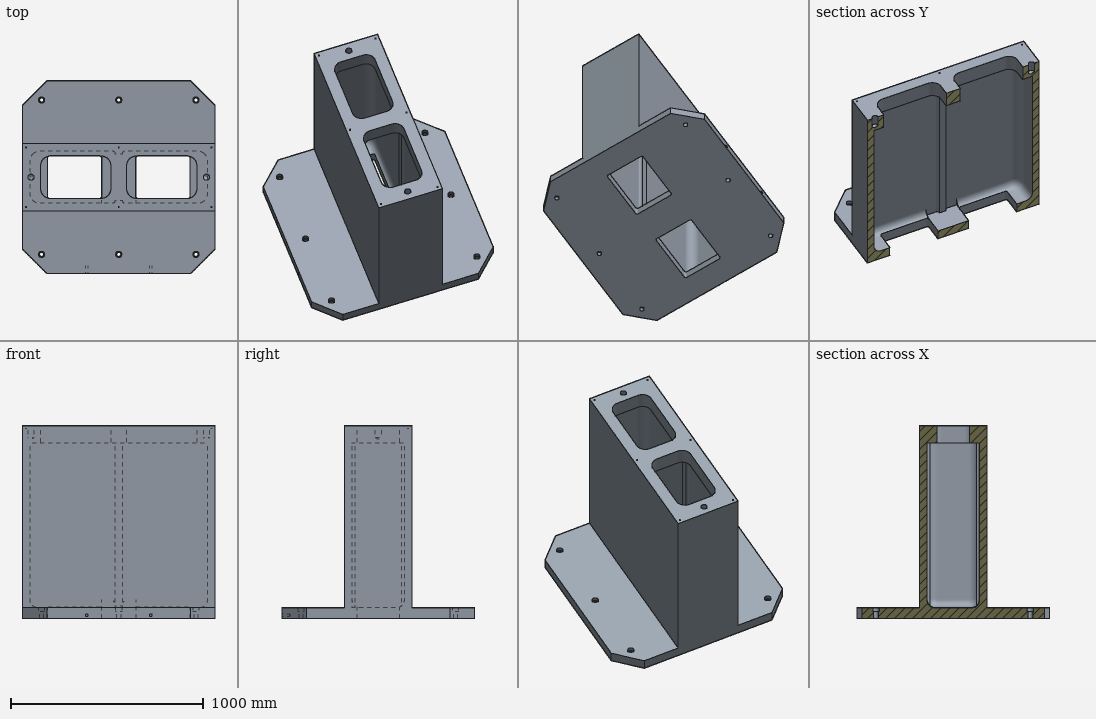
import cadquery as cq

plate_side = 1000
plate_thickness = 57
corner_chamfer = 127

total_height = 1000
column_length = plate_side
column_width = 350
wall = 40
top_thickness = 90
column_height = total_height - plate_thickness
cavity_length = column_length - 2 * wall
cavity_width = column_width - 2 * wall
cavity_top = total_height - top_thickness
cavity_height = cavity_top - plate_thickness
corner_radius = 50
floor_fillet = 40

rib_thickness = 40
rib_depth = 15
rib_root_radius = 10

window_length = 364
window_width = 220
window_offset = 223
floor_opening_length = 280
floor_opening_width = window_width
floor_opening_radius = 10
floor_opening_depth = plate_thickness + floor_fillet
floor_opening_offset = 229

bolt_pitch = 400
bolt_diameter = 22
counterbore_diameter = 32
counterbore_depth = 20

lifting_offset = 455
lifting_diameter = 31.67
lifting_depth = 60
lifting_point_depth = 10

fixing_pitch_x = 480
fixing_pitch_y = 155
fixing_diameter = 5
fixing_depth = 15

edge_hole_offset = 166
edge_hole_height = 18
edge_hole_diameter = 14
edge_hole_depth = 40
edge_hole_point_depth = 4


def make_body():
    """Chamfered base plate with the solid column on it."""
    plate = cq.Workplane("XY").rect(plate_side, plate_side).extrude(plate_thickness)
    plate = plate.edges("|Z").chamfer(corner_chamfer)
    column = (
        cq.Workplane("XY")
        .workplane(offset=plate_thickness)
        .rect(column_length, column_width)
        .extrude(column_height)
    )
    return plate.union(column)


def make_rib():
    """Rib on the +Y wall of the cavity, flared into the wall by root fillets."""
    half = rib_thickness / 2
    wall_y = cavity_width / 2
    front_y = wall_y - rib_depth
    root = rib_root_radius
    return (
        cq.Workplane("XY")
        .workplane(offset=plate_thickness)
        .moveTo(-half - root, wall_y)
        .radiusArc((-half, wall_y - root), root)
        .lineTo(-half, front_y)
        .lineTo(half, front_y)
        .lineTo(half, wall_y - root)
        .radiusArc((half + root, wall_y), root)
        .close()
        .extrude(cavity_height)
    )


def make_bridge_corner():
    """Square floor corner at the -Y wall, where the bridge between the floor openings has no fillet."""
    bridge_length = 2 * floor_opening_offset - floor_opening_length
    return (
        cq.Workplane("XY")
        .workplane(offset=plate_thickness)
        .center(0, (floor_fillet - cavity_width) / 2)
        .rect(bridge_length, floor_fillet)
        .extrude(floor_fillet)
    )


def make_cavity():
    """Hollow inside the column with a filleted floor, notched by the two middle ribs."""
    cavity = (
        cq.Workplane("XY")
        .workplane(offset=plate_thickness)
        .rect(cavity_length, cavity_width)
        .extrude(cavity_height)
        .edges("|Z")
        .fillet(corner_radius)
        .faces("<Z")
        .edges()
        .fillet(floor_fillet)
    )
    cavity = cavity.union(make_bridge_corner())
    rib = make_rib()
    return cavity.cut(rib).cut(rib.mirror("XZ"))


def make_windows():
    """Rounded openings through the top of the column."""
    return (
        cq.Workplane("XY")
        .workplane(offset=cavity_top)
        .pushPoints([(-window_offset, 0), (window_offset, 0)])
        .rect(window_length, window_width)
        .extrude(top_thickness)
        .edges("|Z")
        .fillet(corner_radius)
    )


def make_floor_openings():
    """Openings through the base plate that also clear the floor fillet above it."""
    return (
        cq.Workplane("XY")
        .pushPoints([(-floor_opening_offset, 0), (floor_opening_offset, 0)])
        .rect(floor_opening_length, floor_opening_width)
        .extrude(floor_opening_depth)
        .edges("|Z")
        .fillet(floor_opening_radius)
    )


def make_bolt_holes():
    """Counterbored through holes in two rows of three."""
    points = [(x, y) for x in (-bolt_pitch, 0, bolt_pitch) for y in (-bolt_pitch, bolt_pitch)]
    through = cq.Workplane("XY").pushPoints(points).circle(bolt_diameter / 2).extrude(plate_thickness)
    counterbore = (
        cq.Workplane("XY")
        .workplane(offset=plate_thickness)
        .pushPoints(points)
        .circle(counterbore_diameter / 2)
        .extrude(-counterbore_depth)
    )
    return through.union(counterbore)


def make_drilled_hole(diameter, depth, point_depth):
    """Blind hole going down from the origin, ending in a cone."""
    radius = diameter / 2
    profile = [
        (0, 0),
        (radius, 0),
        (radius, -depth),
        (0, -depth - point_depth),
    ]
    return cq.Workplane("XZ").polyline(profile).close().revolve(360, (0, 0), (0, 1))


def make_lifting_hole(x):
    """Vertical blind hole from the top face."""
    hole = make_drilled_hole(lifting_diameter, lifting_depth, lifting_point_depth)
    return hole.translate((x, 0, total_height))


def make_edge_hole(x):
    """Horizontal blind hole in the -Y edge of the base plate."""
    hole = make_drilled_hole(edge_hole_diameter, edge_hole_depth, edge_hole_point_depth)
    hole = hole.rotate((0, 0, 0), (1, 0, 0), 90)
    return hole.translate((x, -plate_side / 2, edge_hole_height))


def make_fixing_holes():
    """Small blind holes along both long edges of the top face."""
    points = [
        (x, y)
        for x in (-fixing_pitch_x, 0, fixing_pitch_x)
        for y in (-fixing_pitch_y, fixing_pitch_y)
    ]
    return (
        cq.Workplane("XY")
        .workplane(offset=total_height)
        .pushPoints(points)
        .circle(fixing_diameter / 2)
        .extrude(-fixing_depth)
    )


result = make_body()
result = result.cut(make_cavity())
result = result.cut(make_windows())
result = result.cut(make_floor_openings())
result = result.cut(make_bolt_holes())
for side in (-1, 1):
    result = result.cut(make_lifting_hole(side * lifting_offset))
    result = result.cut(make_edge_hole(side * edge_hole_offset))
result = result.cut(make_fixing_holes())